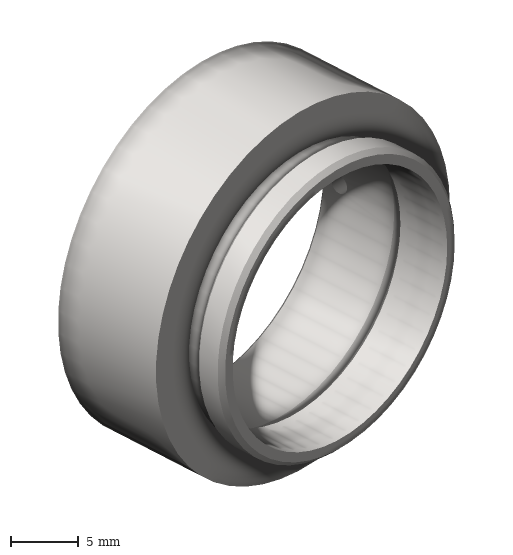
import cadquery as cq

total_length = 13.8
body_length = 10.02
neck_length = 1.0

body_diameter = 31.5
thread_diameter = 25.4
neck_diameter = 24.4
end_face_diameter = 24.6
passage_diameter = 23.0

socket_diameter = end_face_diameter
relief_diameter = thread_diameter
mouth_diameter = thread_diameter
socket_depth = 9.0
relief_length = neck_length

screw_hole_diameter = 1.6
screw_hole_x = 2.0


def make_outside():
    """Body ring with a necked, double-chamfered male thread blank, as a solid."""
    body_radius = body_diameter / 2
    thread_radius = thread_diameter / 2
    neck_radius = neck_diameter / 2
    end_face_radius = end_face_diameter / 2
    neck_end = body_length + neck_length
    return (
        cq.Workplane("XY")
        .moveTo(0, 0)
        .lineTo(0, body_radius)
        .lineTo(body_length, body_radius)
        .lineTo(body_length, neck_radius)
        .lineTo(neck_end, neck_radius)
        .lineTo(neck_end + thread_radius - neck_radius, thread_radius)
        .lineTo(total_length - (thread_radius - end_face_radius), thread_radius)
        .lineTo(total_length, end_face_radius)
        .lineTo(total_length, 0)
        .close()
        .revolve(360, (0, 0, 0), (1, 0, 0))
    )


def make_bore():
    """Chamfered socket, 45-degree-entry relief groove at its floor and the clear passage."""
    mouth_radius = mouth_diameter / 2
    socket_radius = socket_diameter / 2
    relief_radius = relief_diameter / 2
    passage_radius = passage_diameter / 2
    relief_start = socket_depth - relief_length
    return (
        cq.Workplane("XY")
        .moveTo(0, 0)
        .lineTo(0, mouth_radius)
        .lineTo(mouth_radius - socket_radius, socket_radius)
        .lineTo(relief_start - (relief_radius - socket_radius), socket_radius)
        .lineTo(relief_start, relief_radius)
        .lineTo(socket_depth, relief_radius)
        .lineTo(socket_depth, passage_radius)
        .lineTo(total_length, passage_radius)
        .lineTo(total_length, 0)
        .close()
        .revolve(360, (0, 0, 0), (1, 0, 0))
    )


def make_screw_hole():
    """Radial hole through the +Y side of the body wall."""
    return (
        cq.Workplane("XZ", origin=(screw_hole_x, 0, 0))
        .circle(screw_hole_diameter / 2)
        .extrude(-body_diameter)
    )


result = make_outside().cut(make_bore()).cut(make_screw_hole())